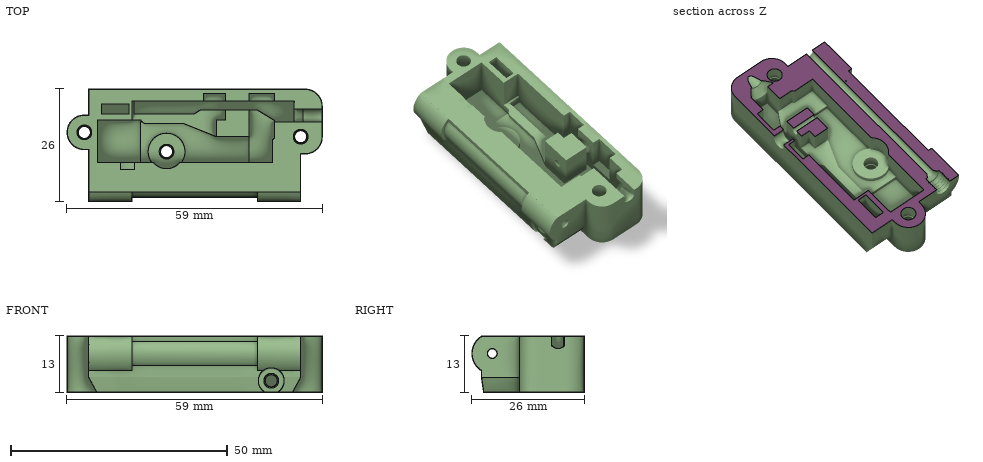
import cadquery as cq
import math


body_length = 49.0
body_depth = 23.8
height = 13.0
taper_height = 3.5
side_taper = 1.9
front_taper = 0.5

left_ear_x, left_ear_y = -1.0, -10.0
right_ear_x, right_ear_y = body_length, -11.0
ear_radius = 4.0
right_ear_reach = 5.0

clearance_diameter = 3.4
tapped_diameter = 2.8
ear_clearance_depth = height / 2

hinge_y = 2.5 - body_depth
hinge_z = 9.0
knuckle_radius = 4.7
knuckle_length = 10.0
waist_radius = 3.75
hinge_mouth_diameter = 4.1
hinge_mouth_depth = 4.0
hinge_cone_diameter = 3.2
hinge_cone_depth = 1.0
hinge_bore_diameter = 2.2
hinge_groove_diameter = 4.4
hinge_groove_width = 0.1
hinge_groove_pitch = 0.7
hinge_groove_count = 4

cavity_front_y = -17.0
cavity_back_y = -2.8
cavity_end_x = 47.5
bay_left_x = 2.0
bay_right_x = 12.0
bay_back_y = -7.1
channel_left_x = 10.0
shelf_right_x = 43.0
shelf_back_y = -7.6
corner_relief = 0.5
corner_relief_y = -11.2

deep_floor_z = 3.0
plate_floor_z = 4.0
ledge_floor_z = 5.0

block_left_x = 29.5
block_step_x = 31.6
block_right_x = 37.1
block_front_y = -11.0
block_step_y = -7.1
track_inner_y = -4.8
track_outer_y = -5.75
pin_x, pin_z = 34.0, 9.0
pin_diameter = 1.8
wall_hole_diameter = 3.6

relief_back_y = -1.0
relief_spans = [(26.5, block_step_x), (block_right_x, shelf_right_x)]
small_pocket_x = (3.0, 9.3)
small_pocket_y = (track_outer_y, -3.5)

seat_x, seat_y = 18.0, -14.45
seat_diameter = 8.5
seat_top_z = ledge_floor_z
seat_clearance_depth = seat_top_z / 2
seat_notch_diameter = 7.9

outlet_y, outlet_z = -6.1, 12.0
outlet_width = 3.0
outlet_radius = 1.8
outlet_slope = 0.25
outlet_end_x = body_length + right_ear_reach
funnel_radius = 3.3
funnel_length = 2.0
funnel_roof_z = 11.2

groove_x = (7.3, 10.6)
groove_length = 1.55
groove_sag = 0.35

front_hole_x, front_hole_z = 42.2, 2.7
front_head_diameter = 6.0
front_head_y = -22.8
front_clearance_length = 5.0
front_tapped_length = 8.0


def box(x_range, y_range, z_range):
    """Axis-aligned box between the given limits."""
    size = [limits[1] - limits[0] for limits in (x_range, y_range, z_range)]
    corner = (x_range[0], y_range[0], z_range[0])
    return cq.Workplane("XY").box(*size, centered=False).translate(corner)


def rod(diameter, length, start, direction):
    """Cylinder that grows from start along direction."""
    solid = cq.Solid.makeCylinder(diameter / 2, length, cq.Vector(*start), cq.Vector(*direction))
    return cq.Workplane(obj=solid)


def stepped_hole_down(x, y, top_z, clearance_depth):
    """Vertical screw hole, wide at the top and narrow through the underside."""
    hole = rod(tapped_diameter, top_z, (x, y, 0), (0, 0, 1))
    return hole.union(rod(clearance_diameter, clearance_depth, (x, y, top_z), (0, 0, -1)))


def make_body():
    """Block whose ends and front lean inward below the taper line."""
    upper = box((0, body_length), (-body_depth, 0), (taper_height, height))
    foot_outline = [
        (0, taper_height),
        (side_taper, 0),
        (body_length - side_taper, 0),
        (body_length, taper_height),
    ]
    foot = cq.Workplane("XZ").polyline(foot_outline).close().extrude(body_depth)
    lean_outline = [
        (-body_depth, taper_height),
        (front_taper - body_depth, 0),
        (0, 0),
        (0, taper_height),
    ]
    lean = cq.Workplane("YZ").polyline(lean_outline).close().extrude(body_length)
    return upper.union(foot.intersect(lean))


def make_ears():
    """Left ear with a round nose, right ear with two rounded corners."""
    left = rod(2 * ear_radius, height, (left_ear_x, left_ear_y, 0), (0, 0, 1))
    left_web = box(
        (left_ear_x, bay_left_x),
        (left_ear_y - ear_radius, left_ear_y + ear_radius),
        (0, height),
    )
    right = box(
        (shelf_right_x, body_length + right_ear_reach),
        (right_ear_y - ear_radius, 0),
        (0, height),
    )
    right = right.edges("|Z and >X").fillet(ear_radius)
    return left.union(left_web).union(right)


def make_hinge():
    """Barrel with a knuckle at each end and a slimmer waist between."""
    start = (0, hinge_y, hinge_z)
    right_start = (body_length - knuckle_length, hinge_y, hinge_z)
    barrel = rod(2 * waist_radius, body_length, start, (1, 0, 0))
    for knuckle_start in (start, right_start):
        barrel = barrel.union(rod(2 * knuckle_radius, knuckle_length, knuckle_start, (1, 0, 0)))
    return barrel.intersect(box((0, body_length), (-2 * body_depth, 0), (0, height)))


def make_hinge_bore():
    """Pin bore along the barrel, with a grooved mouth and a cone at the left end."""
    start = (0, hinge_y, hinge_z)
    bore = rod(hinge_bore_diameter, body_length, start, (1, 0, 0))
    bore = bore.union(rod(hinge_mouth_diameter, hinge_mouth_depth, start, (1, 0, 0)))
    for index in range(1, hinge_groove_count + 1):
        groove_start = (index * hinge_groove_pitch, hinge_y, hinge_z)
        bore = bore.union(rod(hinge_groove_diameter, hinge_groove_width, groove_start, (1, 0, 0)))
    cone = cq.Solid.makeCone(
        hinge_cone_diameter / 2,
        hinge_bore_diameter / 2,
        hinge_cone_depth,
        cq.Vector(hinge_mouth_depth, hinge_y, hinge_z),
        cq.Vector(1, 0, 0),
    )
    return bore.union(cq.Workplane(obj=cone))


def make_cavity():
    """Open-topped cavity down to its deepest floor."""
    outline = [
        (bay_left_x, cavity_front_y),
        (shelf_right_x - corner_relief, cavity_front_y),
        (shelf_right_x - corner_relief, corner_relief_y - corner_relief),
        (shelf_right_x, corner_relief_y),
        (shelf_right_x, shelf_back_y),
        (cavity_end_x, shelf_back_y),
        (cavity_end_x, cavity_back_y),
        (channel_left_x, cavity_back_y),
        (channel_left_x, bay_back_y),
        (bay_left_x, bay_back_y),
    ]
    floor = cq.Workplane("XY").workplane(offset=deep_floor_z)
    return floor.polyline(outline).close().extrude(height - deep_floor_z)


def make_plate():
    """Flat cavity floor in front of the raised ledge."""
    return box(
        (bay_right_x, shelf_right_x),
        (cavity_front_y, shelf_back_y),
        (0, plate_floor_z),
    )


def make_ledge():
    """Raised floor between the back track and the front plate."""
    front_y = -8.0
    nose_x = 13.4
    nose_rise = bay_back_y - front_y
    nose_radius = ((nose_x - bay_right_x) ** 2 + nose_rise**2) / (2 * nose_rise)
    slope_start_x = 22.0
    track_left_x = 10.5
    track_bend_x = (24.4, 25.9)
    track_exit_x = 38.9
    track_exit_y = -7.3
    outline = (
        cq.Workplane("XY")
        .moveTo(bay_right_x, bay_back_y)
        .radiusArc((nose_x, front_y), -nose_radius)
        .lineTo(slope_start_x, front_y)
        .lineTo(block_left_x, block_front_y)
        .lineTo(block_right_x, block_front_y)
        .lineTo(block_right_x, cavity_front_y)
        .lineTo(shelf_right_x, cavity_front_y)
        .lineTo(shelf_right_x, track_exit_y)
        .lineTo(track_exit_x, track_inner_y)
        .lineTo(track_bend_x[1], track_inner_y)
        .lineTo(track_bend_x[0], track_outer_y)
        .lineTo(track_left_x, track_outer_y)
        .lineTo(track_left_x, cavity_back_y)
        .lineTo(channel_left_x, cavity_back_y)
        .lineTo(channel_left_x, bay_back_y)
        .close()
    )
    return outline.extrude(ledge_floor_z)


def make_block():
    """Upright block with a notched back corner."""
    front = box((block_left_x, block_right_x), (block_front_y, block_step_y), (0, height))
    back = box((block_step_x, block_right_x), (block_step_y, track_inner_y), (0, height))
    return front.union(back)


def make_pin_holes():
    """Pin hole through the upright block and the wider hole through the back wall."""
    pin_length = track_inner_y - block_front_y
    pin = rod(pin_diameter, pin_length, (pin_x, block_front_y, pin_z), (0, 1, 0))
    wall_start = (pin_x, cavity_back_y, pin_z)
    return pin.union(rod(wall_hole_diameter, -cavity_back_y, wall_start, (0, 1, 0)))


def make_relief_pockets():
    """Two recesses in the back wall and a closed pocket at the left end."""
    pockets = box(small_pocket_x, small_pocket_y, (deep_floor_z, height))
    for x_range in relief_spans:
        pockets = pockets.union(box(x_range, (cavity_back_y, relief_back_y), (ledge_floor_z, height)))
    return pockets


def make_screw_seat():
    """Round pad on the cavity floor that carries a screw hole."""
    pad = rod(seat_diameter, seat_top_z, (seat_x, seat_y, 0), (0, 0, 1))
    return pad.intersect(box((0, body_length), (cavity_front_y, 0), (0, height)))


def make_seat_notch():
    """Screw head clearance above the pad and its stepped hole."""
    notch_start = (seat_x, seat_y, seat_top_z)
    notch = rod(seat_notch_diameter, height - seat_top_z, notch_start, (0, 0, 1))
    return notch.union(stepped_hole_down(seat_x, seat_y, seat_top_z, seat_clearance_depth))


def make_outlet():
    """Sloping round-bottomed slot through the right end with a funnel at the cavity."""
    run = outlet_end_x - cavity_end_x
    inner_z = outlet_z - run * outlet_slope
    start = (cavity_end_x, outlet_y, inner_z)
    direction = (1, 0, outlet_slope)
    slot_length = run * math.hypot(1, outlet_slope) + outlet_radius
    slot = rod(2 * outlet_radius, slot_length, start, direction)
    slot_limits = box(
        (cavity_end_x, outlet_end_x),
        (outlet_y - outlet_width / 2, outlet_y + outlet_width / 2),
        (0, height),
    )
    slot = slot.intersect(slot_limits)
    opening_outline = [
        (cavity_end_x, inner_z),
        (outlet_end_x, outlet_z),
        (outlet_end_x, height),
        (cavity_end_x, height),
    ]
    opening = cq.Workplane("XZ", origin=(0, outlet_y, 0)).polyline(opening_outline).close()
    opening = opening.extrude(outlet_width / 2, both=True)
    cone = cq.Solid.makeCone(
        funnel_radius,
        outlet_radius,
        funnel_length,
        cq.Vector(*start),
        cq.Vector(1, 0, 0),
    )
    below_roof = box((cavity_end_x, outlet_end_x), (-body_depth, 0), (0, funnel_roof_z))
    return slot.union(opening).union(cq.Workplane(obj=cone).intersect(below_roof))


def make_groove():
    """Shallow arc-bottomed groove at the front edge of the cavity."""
    half_width = (groove_x[1] - groove_x[0]) / 2
    radius = (half_width**2 + groove_sag**2) / (2 * groove_sag)
    centre_x = groove_x[0] + half_width
    start = (centre_x, cavity_front_y - groove_length, height - groove_sag + radius)
    return rod(2 * radius, groove_length, start, (0, 1, 0))


def make_front_hole():
    """Screw hole in the front with its head recess."""
    head_start = (front_hole_x, front_head_y, front_hole_z)
    hole = rod(front_head_diameter, body_depth, head_start, (0, -1, 0))
    hole = hole.union(rod(clearance_diameter, front_clearance_length, head_start, (0, 1, 0)))
    total_length = front_clearance_length + front_tapped_length
    return hole.union(rod(tapped_diameter, total_length, head_start, (0, 1, 0)))


result = make_body().union(make_ears()).union(make_hinge())
result = result.cut(make_cavity())
result = result.union(make_plate()).union(make_ledge()).union(make_block()).union(make_screw_seat())

cutters = [
    make_hinge_bore(),
    make_pin_holes(),
    make_relief_pockets(),
    make_seat_notch(),
    make_outlet(),
    make_groove(),
    make_front_hole(),
    stepped_hole_down(left_ear_x, left_ear_y, height, ear_clearance_depth),
    stepped_hole_down(right_ear_x, right_ear_y, height, ear_clearance_depth),
]
for cutter in cutters:
    result = result.cut(cutter)